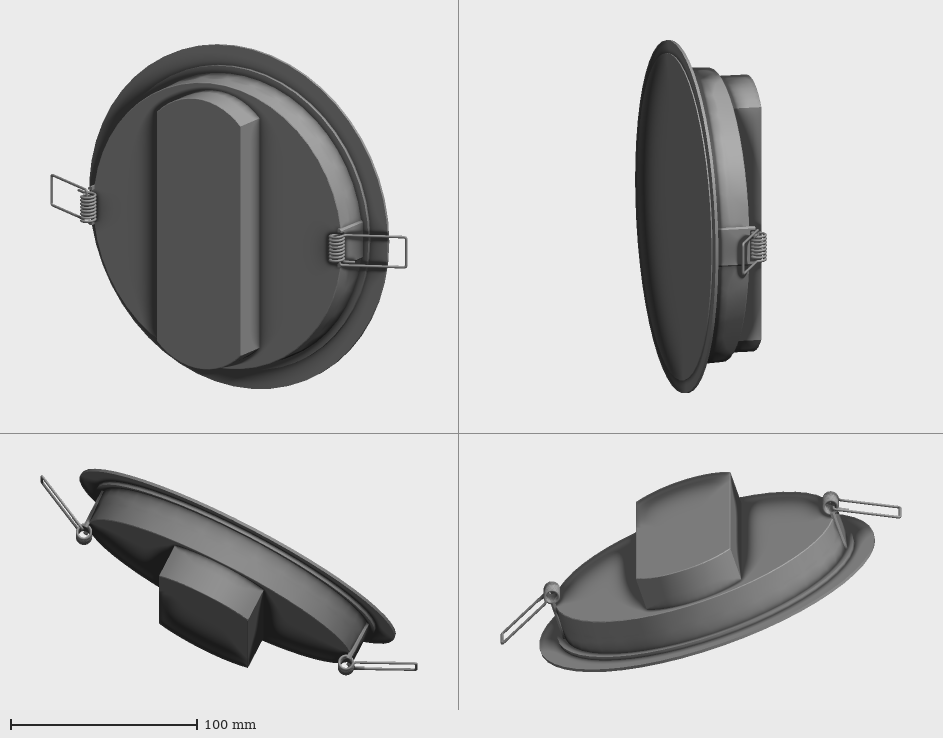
import cadquery as cq
import math

TOTAL_LENGTH = 227.0
TOTAL_DEPTH = 42.0

FLANGE_DIAMETER = 190.0
RIM_DIAMETER = 176.1
STEP_DIAMETER = 168.0
FLANGE_OUTER_Y = -0.7
FLANGE_INNER_Y = -2.3
STEP_Y = -4.3

HOUSING_BASE_DIAMETER = 160.0
HOUSING_END_DIAMETER = 158.5
HOUSING_END_Y = -23.2
EDGE_FILLET = 0.5
MOUNT_OUTER_X = 80.5
MOUNT_BEVEL_X = 79.5
MOUNT_INNER_X = 78.0
MOUNT_OUTER_HALF = 9.8
MOUNT_INNER_HALF = 10.7
MOUNT_END_Y = -26.0
EAR_INNER_HALF = 8.9

BOX_HALF_WIDTH = 26.8
BOX_HALF_LENGTH = 75.4
BOX_CORNER_Z = 64.0

WIRE_DIAMETER = 1.4
COIL_RADIUS = 3.72
COIL_PITCH = 1.88
COIL_TURNS = 8
COIL_X = -79.0
COIL_Y = -28.1
COIL_START_Z = -8.0
FREE_ARM_Z = 8.9
ARM_TILT = 26.0
WIRE_BEND = 1.4
COIL_BEND = 2.3
STUB_END_X = -87.8
PIN_DISTANCE = 1.5
PIN_END_Z = 5.5


def disc(diameter, y_start, y_end):
    """Round plate about the Y axis between two Y levels."""
    sketch = cq.Workplane("XZ", origin=(0, y_start, 0)).circle(diameter / 2)
    return sketch.extrude(y_start - y_end)


def make_trim():
    rim = disc(RIM_DIAMETER, 0, FLANGE_OUTER_Y)
    flange = disc(FLANGE_DIAMETER, FLANGE_OUTER_Y, FLANGE_INNER_Y)
    step = disc(STEP_DIAMETER, FLANGE_INNER_Y, STEP_Y)
    return rim.union(flange).union(step)


def make_mount():
    """Bevelled pad on the -X side that ends in two ears, one at each end of the coil."""
    pad = (
        cq.Workplane("XZ", origin=(0, STEP_Y, 0))
        .moveTo(-MOUNT_INNER_X, -MOUNT_INNER_HALF)
        .lineTo(-MOUNT_BEVEL_X, -MOUNT_INNER_HALF)
        .lineTo(-MOUNT_OUTER_X, -MOUNT_OUTER_HALF)
        .lineTo(-MOUNT_OUTER_X, MOUNT_OUTER_HALF)
        .lineTo(-MOUNT_BEVEL_X, MOUNT_INNER_HALF)
        .lineTo(-MOUNT_INNER_X, MOUNT_INNER_HALF)
        .close()
        .extrude(STEP_Y - MOUNT_END_Y)
    )
    coil_gap = (
        cq.Workplane("XZ", origin=(0, HOUSING_END_Y, 0))
        .center(-MOUNT_OUTER_X, 0)
        .rect(2 * MOUNT_OUTER_X, 2 * EAR_INNER_HALF)
        .extrude(HOUSING_END_Y - MOUNT_END_Y)
    )
    return pad.cut(coil_gap)


def make_housing():
    housing = (
        cq.Workplane("XY")
        .moveTo(0, STEP_Y)
        .lineTo(HOUSING_BASE_DIAMETER / 2, STEP_Y)
        .lineTo(HOUSING_END_DIAMETER / 2, HOUSING_END_Y)
        .lineTo(0, HOUSING_END_Y)
        .close()
        .revolve(360, (0, 0, 0), (0, 1, 0))
        .faces("<Y")
        .edges()
        .fillet(EDGE_FILLET)
    )
    mount = make_mount()
    for turn in (0, 180):
        housing = housing.union(mount.rotate((0, 0, 0), (0, 1, 0), turn))
    return housing


def make_driver_box():
    return (
        cq.Workplane("XZ", origin=(0, HOUSING_END_Y, 0))
        .moveTo(-BOX_HALF_WIDTH, -BOX_CORNER_Z)
        .threePointArc((0, -BOX_HALF_LENGTH), (BOX_HALF_WIDTH, -BOX_CORNER_Z))
        .lineTo(BOX_HALF_WIDTH, BOX_CORNER_Z)
        .threePointArc((0, BOX_HALF_LENGTH), (-BOX_HALF_WIDTH, BOX_CORNER_Z))
        .close()
        .extrude(TOTAL_DEPTH + HOUSING_END_Y)
        .faces("<Y")
        .edges()
        .fillet(EDGE_FILLET)
    )


def coil_point(radius, angle, z):
    """Point at a distance and angle (degrees) about the coil axis."""
    turn = math.radians(angle)
    return cq.Vector(COIL_X + radius * math.cos(turn), COIL_Y + radius * math.sin(turn), z)


def bend(start, corner, end, radius):
    """Quarter-circle edge that rounds a right-angled corner of the wire."""
    centre = start + end - corner
    middle = centre + (corner - centre).normalized() * radius
    return cq.Edge.makeThreePointArc(start, middle, end)


def coil_exit(arm_angle, side, z):
    """Arc from the arm line to the coil, on the -Y side (-1) or the +Y side (1) of the arm.

    Gives its point on the arm, its edge and the angle where it meets the coil.
    """
    centre_distance = COIL_RADIUS + COIL_BEND
    swing = math.degrees(math.asin(COIL_BEND / centre_distance))
    contact_angle = arm_angle - side * swing
    centre = coil_point(centre_distance, contact_angle, z)
    on_arm = coil_point(math.sqrt(centre_distance**2 - COIL_BEND**2), arm_angle, z)
    on_coil = coil_point(COIL_RADIUS, contact_angle, z)
    middle = centre + ((on_arm + on_coil) * 0.5 - centre).normalized() * COIL_BEND
    return on_arm, cq.Edge.makeThreePointArc(on_arm, middle, on_coil), contact_angle


def sweep_wire(path):
    """Round spring wire along a path."""
    section = cq.Workplane(cq.Plane(path.startPoint(), normal=path.tangentAt(0)))
    return section.circle(WIRE_DIAMETER / 2).sweep(cq.Workplane(path), isFrenet=True)


def joint_ball(point):
    """Ball that fills the slight kink where a flat bend meets the coil."""
    return cq.Workplane(cq.Plane(point)).sphere(WIRE_DIAMETER / 2)


def make_spring():
    """Spring on the -X side: pin, free arm, bridge, fixed arm, coil and stub in one wire."""
    arm_angle = 180 - ARM_TILT
    tilt_cosine = math.cos(math.radians(ARM_TILT))
    bridge = (TOTAL_LENGTH / 2 - WIRE_DIAMETER / 2 + COIL_X) / tilt_cosine
    stub_end = (COIL_X - STUB_END_X) / tilt_cosine

    start_on_arm, start_arc, start_angle = coil_exit(arm_angle, -1, COIL_START_Z)
    turns = COIL_TURNS - 2 * (start_angle - arm_angle) / 360
    coil_height = turns * COIL_PITCH
    coil_end_z = COIL_START_Z + coil_height
    end_on_arm, end_arc, _ = coil_exit(arm_angle, 1, coil_end_z)

    pin_tip = coil_point(PIN_DISTANCE, arm_angle, PIN_END_Z)
    pin_top = coil_point(PIN_DISTANCE, arm_angle, FREE_ARM_Z - WIRE_BEND)
    pin_corner = coil_point(PIN_DISTANCE, arm_angle, FREE_ARM_Z)
    free_start = coil_point(PIN_DISTANCE + WIRE_BEND, arm_angle, FREE_ARM_Z)
    free_end = coil_point(bridge - WIRE_BEND, arm_angle, FREE_ARM_Z)
    free_corner = coil_point(bridge, arm_angle, FREE_ARM_Z)
    bridge_top = coil_point(bridge, arm_angle, FREE_ARM_Z - WIRE_BEND)
    bridge_bottom = coil_point(bridge, arm_angle, COIL_START_Z + WIRE_BEND)
    fixed_corner = coil_point(bridge, arm_angle, COIL_START_Z)
    fixed_start = coil_point(bridge - WIRE_BEND, arm_angle, COIL_START_Z)

    frame = [
        cq.Edge.makeLine(pin_tip, pin_top),
        bend(pin_top, pin_corner, free_start, WIRE_BEND),
        cq.Edge.makeLine(free_start, free_end),
        bend(free_end, free_corner, bridge_top, WIRE_BEND),
        cq.Edge.makeLine(bridge_top, bridge_bottom),
        bend(bridge_bottom, fixed_corner, fixed_start, WIRE_BEND),
        cq.Edge.makeLine(fixed_start, start_on_arm),
        start_arc,
    ]
    helix = cq.Wire.makeHelix(COIL_PITCH, coil_height, COIL_RADIUS)
    helix = helix.rotate(cq.Vector(0, 0, 0), cq.Vector(0, 0, 1), start_angle)
    helix = helix.translate(cq.Vector(COIL_X, COIL_Y, COIL_START_Z))
    stub = [cq.Edge.makeLine(coil_point(stub_end, arm_angle, coil_end_z), end_on_arm), end_arc]

    frame_wire = cq.Wire.assembleEdges(frame)
    stub_wire = cq.Wire.assembleEdges(stub)
    spring = sweep_wire(helix)
    for wire in (frame_wire, stub_wire):
        spring = spring.union(joint_ball(wire.endPoint())).union(sweep_wire(wire))
    return spring


trim = make_trim()
housing = make_housing()
driver_box = make_driver_box()
left_spring = make_spring()
springs = [left_spring.rotate((0, 0, 0), (0, 1, 0), turn) for turn in (0, 180)]

result = cq.Compound.makeCompound(
    [trim.val(), housing.val(), driver_box.val(), *[spring.val() for spring in springs]]
)